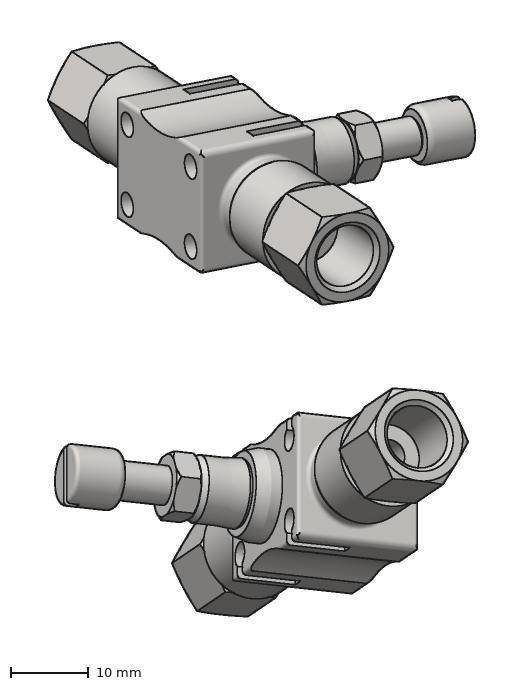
import cadquery as cq
import math


TOTAL_LENGTH = 68.25
BLOCK_LENGTH = 22.9
BLOCK_HEIGHT = 17.0
BLOCK_DEPTH = 16.8
BLOCK_BACK = -9.1
BLOCK_FRONT = BLOCK_BACK + BLOCK_DEPTH
TOTAL_DEPTH = 44.5
SPINDLE_TIP = BLOCK_BACK + TOTAL_DEPTH

EDGE_FILLET_X = 0.55
EDGE_FILLET_Y = 0.9
EDGE_FILLET_Z = 0.5
WAIST_WIDTH = 10.9
WAIST_DEPTH = 1.0
MOUNT_HOLE_DIAMETER = 3.3
MOUNT_HOLE_X = 8.5
MOUNT_HOLE_Z = 5.5
SLOT_WIDTH = 1.8
SLOT_LENGTH = 8.05

UNION_HEX_FLATS = 12.15
UNION_HEX_LENGTH = 10.5
UNION_HEX_END_RADIUS = 6.1
UNION_HEX_CHAMFER = 0.4
SLEEVE_RADIUS = 6.7
SLEEVE_END = 14.95
NECK_RADIUS = 6.1
NECK_START = 13.3
NECK_FILLET = 0.55
BORE_RADIUS = 4.15
BORE_MOUTH_RADIUS = 4.8
BORE_DEPTH = 10.25
PASSAGE_DIAMETER = 4.3

COLLAR_RADIUS = 6.15
COLLAR_TIP_RADIUS = 5.6
COLLAR_SHOULDER = 9.2
COLLAR_TIP = 11.1
RIM_RADIUS = 4.65
RIM_POSITION = 11.55
UNDERCUT_RADIUS = 4.45
BARREL_RADIUS = 4.45
BARREL_START = 13.9
BARREL_END = 17.2
BARREL_TIP_RADIUS = 3.9
NUT_START = 18.1
NUT_LENGTH = 3.5
NUT_FLATS = 8.05
NUT_END_RADIUS = 4.1
NUT_CHAMFER = 0.4
STEM_RADIUS = 2.6
STEM_END = 28.1
STEM_GROOVE_RADIUS = 2.25
KNOB_START = 28.45
KNOB_RADIUS = 4.0
KNOB_BASE_RADIUS = 3.5
KNOB_BASE_HEIGHT = 0.9
KNOB_BASE_BULGE = 0.15
KNOB_TIP_FILLET = 0.55
DRIVER_SLOT_WIDTH = 1.0
DRIVER_SLOT_DEPTH = 1.7

HALF_LENGTH = TOTAL_LENGTH / 2
HALF_HEIGHT = BLOCK_HEIGHT / 2
BLOCK_CENTER_Y = (BLOCK_BACK + BLOCK_FRONT) / 2


def chamfered_hexagon(flats, length, end_radius, chamfer):
    """Hexagonal prism along +Z, two corners on local X, corners turned off at both ends."""
    corner_radius = flats / 2 / math.cos(math.pi / 6)
    prism = cq.Workplane("XY").polygon(6, 2 * corner_radius).extrude(length)
    turned = (
        cq.Workplane("XZ")
        .lineTo(end_radius, 0)
        .lineTo(corner_radius, chamfer)
        .lineTo(corner_radius, length - chamfer)
        .lineTo(end_radius, length)
        .lineTo(0, length)
        .close()
        .revolve(360, (0, 0, 0), (0, 1, 0))
    )
    return prism.intersect(turned)


def make_block():
    blank = cq.Workplane("XY", origin=(0, BLOCK_CENTER_Y, 0)).box(BLOCK_LENGTH, BLOCK_DEPTH, BLOCK_HEIGHT)
    block = blank.edges("|X").fillet(EDGE_FILLET_X)
    block = block.intersect(blank.edges("|Y").fillet(EDGE_FILLET_Y))
    block = block.intersect(blank.edges("|Z").fillet(EDGE_FILLET_Z))

    half_chord = WAIST_WIDTH / 2
    arc_radius = (half_chord**2 + WAIST_DEPTH**2) / (2 * WAIST_DEPTH)
    arc_center_z = HALF_HEIGHT - WAIST_DEPTH + arc_radius
    for side in (-1, 1):
        waist = (
            cq.Workplane("XZ", origin=(0, BLOCK_FRONT, 0))
            .center(0, side * arc_center_z)
            .circle(arc_radius)
            .extrude(BLOCK_DEPTH)
        )
        block = block.cut(waist)
    return block


def cut_mounting_holes(part):
    """Four through holes along Y, each opened to the nearest Z face by a slot."""
    slot_height = HALF_HEIGHT - MOUNT_HOLE_Z
    for x in (-MOUNT_HOLE_X, MOUNT_HOLE_X):
        for side in (-1, 1):
            hole = (
                cq.Workplane("XZ", origin=(x, BLOCK_FRONT, side * MOUNT_HOLE_Z))
                .circle(MOUNT_HOLE_DIAMETER / 2)
                .extrude(BLOCK_DEPTH)
            )
            slot = cq.Workplane("XY").box(SLOT_WIDTH, SLOT_LENGTH, slot_height).translate(
                (x, BLOCK_FRONT - SLOT_LENGTH / 2, side * (HALF_HEIGHT - slot_height / 2))
            )
            part = part.cut(hole).cut(slot)
    return part


def make_union():
    """Solid union on the +X end: hexagon, round sleeve and neck."""
    hexagon_start = HALF_LENGTH - UNION_HEX_LENGTH
    block_side = BLOCK_LENGTH / 2
    ogee_x = (SLEEVE_END + NECK_START) / 2
    ogee_radius = (SLEEVE_RADIUS + NECK_RADIUS) / 2
    sleeve = (
        cq.Workplane("XY")
        .lineTo(hexagon_start, 0)
        .lineTo(hexagon_start, SLEEVE_RADIUS)
        .lineTo(SLEEVE_END, SLEEVE_RADIUS)
        .tangentArcPoint((ogee_x, ogee_radius), relative=False)
        .tangentArcPoint((NECK_START, NECK_RADIUS), relative=False)
        .lineTo(block_side + NECK_FILLET, NECK_RADIUS)
        .tangentArcPoint((block_side, NECK_RADIUS + NECK_FILLET), relative=False)
        .lineTo(0, NECK_RADIUS + NECK_FILLET)
        .close()
        .revolve(360, (0, 0, 0), (1, 0, 0))
    )
    hexagon = (
        chamfered_hexagon(UNION_HEX_FLATS, UNION_HEX_LENGTH, UNION_HEX_END_RADIUS, UNION_HEX_CHAMFER)
        .rotate((0, 0, 0), (0, 0, 1), 90)
        .rotate((0, 0, 0), (0, 1, 0), 90)
        .translate((hexagon_start, 0, 0))
    )
    return sleeve.union(hexagon)


def make_bore():
    """Blind bore with a countersunk mouth, on the +X end."""
    mouth_depth = BORE_MOUTH_RADIUS - BORE_RADIUS
    return (
        cq.Workplane("XY")
        .moveTo(HALF_LENGTH, 0)
        .lineTo(HALF_LENGTH, BORE_MOUTH_RADIUS)
        .lineTo(HALF_LENGTH - mouth_depth, BORE_RADIUS)
        .lineTo(HALF_LENGTH - BORE_DEPTH, BORE_RADIUS)
        .lineTo(HALF_LENGTH - BORE_DEPTH, 0)
        .close()
        .revolve(360, (0, 0, 0), (1, 0, 0))
    )


def make_spindle():
    """Collar, flared barrel, stem and knob turned about Y, with a hexagonal lock nut."""
    turned = (
        cq.Workplane("XY")
        .lineTo(COLLAR_RADIUS, 0)
        .lineTo(COLLAR_RADIUS, COLLAR_SHOULDER)
        .lineTo(COLLAR_TIP_RADIUS, COLLAR_TIP)
        .lineTo(UNDERCUT_RADIUS, COLLAR_TIP)
        .lineTo(RIM_RADIUS, RIM_POSITION)
        .lineTo(BARREL_RADIUS, BARREL_START)
        .lineTo(BARREL_RADIUS, BARREL_END)
        .lineTo(BARREL_TIP_RADIUS, NUT_START)
        .lineTo(STEM_RADIUS, NUT_START)
        .lineTo(STEM_RADIUS, STEM_END)
        .lineTo(STEM_GROOVE_RADIUS, STEM_END)
        .lineTo(STEM_GROOVE_RADIUS, KNOB_START)
        .lineTo(KNOB_BASE_RADIUS, KNOB_START)
        .sagittaArc((KNOB_RADIUS, KNOB_START + KNOB_BASE_HEIGHT), -KNOB_BASE_BULGE)
        .lineTo(KNOB_RADIUS, SPINDLE_TIP - KNOB_TIP_FILLET)
        .tangentArcPoint((KNOB_RADIUS - KNOB_TIP_FILLET, SPINDLE_TIP), relative=False)
        .lineTo(0, SPINDLE_TIP)
        .close()
        .revolve(360, (0, 0, 0), (0, 1, 0))
    )
    nut = (
        chamfered_hexagon(NUT_FLATS, NUT_LENGTH, NUT_END_RADIUS, NUT_CHAMFER)
        .rotate((0, 0, 0), (1, 0, 0), -90)
        .translate((0, NUT_START, 0))
    )
    driver_slot = (
        cq.Workplane("XY")
        .box(DRIVER_SLOT_WIDTH, DRIVER_SLOT_DEPTH, 2 * KNOB_RADIUS)
        .translate((0, SPINDLE_TIP - DRIVER_SLOT_DEPTH / 2, 0))
    )
    return turned.union(nut).cut(driver_slot)


union_end = make_union()
bore = make_bore()
passage = cq.Workplane("YZ").circle(PASSAGE_DIAMETER / 2).extrude(HALF_LENGTH, both=True)

result = make_block().union(make_spindle())
result = result.union(union_end).union(union_end.mirror("YZ"))
result = result.cut(bore).cut(bore.mirror("YZ")).cut(passage)
result = cut_mounting_holes(result)